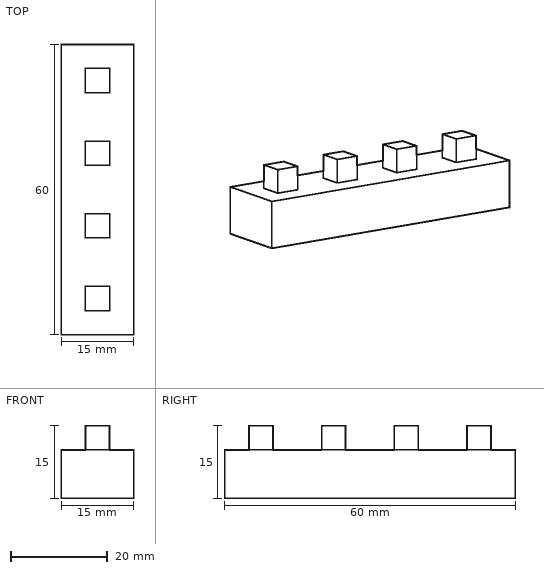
import cadquery as cq

bar_length = 60.0
peg_count = 4

module = bar_length / peg_count
bar_width = module
peg_side = module / 3
bar_height = 2 * peg_side

bar = cq.Workplane("XY").box(bar_width, bar_length, bar_height, centered=(True, True, False))

pegs = (
    cq.Workplane("XY", origin=(0, 0, bar_height))
    .rarray(module, module, 1, peg_count)
    .rect(peg_side, peg_side)
    .extrude(peg_side)
)

result = bar.union(pegs)